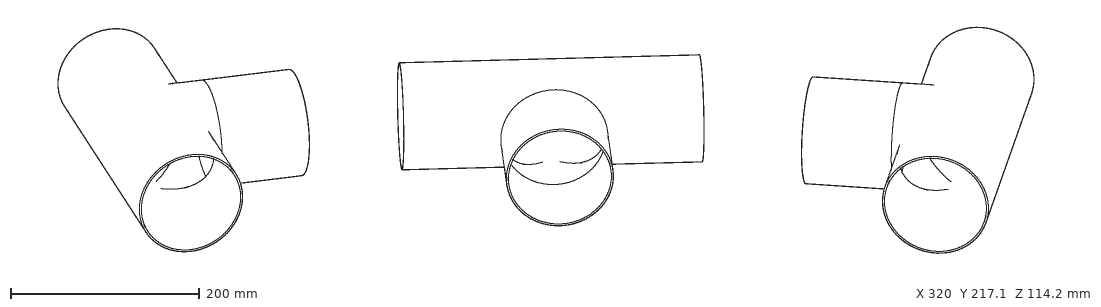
import cadquery as cq

run_length = 320.0
outer_diameter = 114.2
bore_diameter = 109.8
branch_end = 160.0
joint_offset = 63.5
crotch_radius = 5.8


def run_cylinder(diameter):
    """Solid cylinder along X, centred on the origin."""
    return cq.Workplane("YZ").circle(diameter / 2).extrude(run_length / 2, both=True)


def branch_cylinder(diameter, start, end):
    """Solid cylinder along +Y between two distances from the run axis."""
    return (
        cq.Workplane("XZ", origin=(0, start, 0))
        .circle(diameter / 2)
        .extrude(start - end)
    )


def make_tee():
    """Run pipe with a short branch stub, blended outside along the elliptical crotch edges."""
    outside = (
        run_cylinder(outer_diameter)
        .union(branch_cylinder(outer_diameter, 0, joint_offset))
        .edges("%ELLIPSE")
        .fillet(crotch_radius)
    )
    return (
        outside
        .cut(run_cylinder(bore_diameter))
        .cut(branch_cylinder(bore_diameter, 0, joint_offset))
    )


def make_branch_pipe():
    """Plain pipe that continues the stub with the same outside and bore."""
    return (
        branch_cylinder(outer_diameter, joint_offset, branch_end)
        .cut(branch_cylinder(bore_diameter, joint_offset, branch_end))
    )


tee = make_tee()
branch_pipe = make_branch_pipe()

result = cq.Compound.makeCompound([tee.val(), branch_pipe.val()])